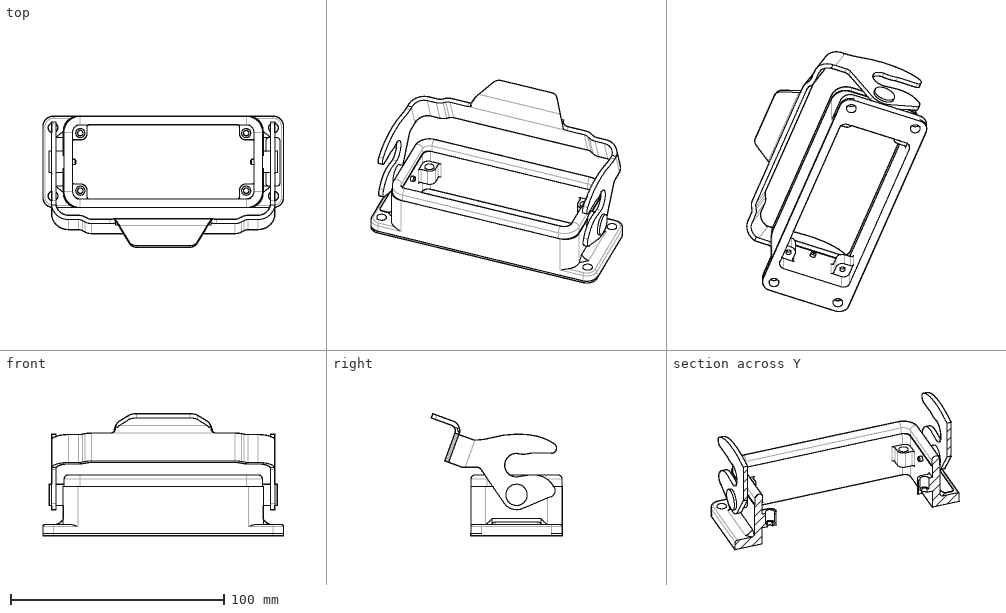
import cadquery as cq
import math

FLANGE_LENGTH = 113.0
FOOT_WIDTH = 43.0
FOOT_HEIGHT = 1.1
FLANGE_WIDTH = 42.9
FLANGE_HEIGHT = 5.3
FLANGE_CORNER_RADIUS = 5.0
FLANGE_EDGE_RADIUS = 1.0
MOUNT_HOLE_DIAMETER = 4.5
MOUNT_HOLE_X = 51.7
MOUNT_HOLE_Y = 16.0

BODY_LENGTH = 93.8
BODY_WIDTH = FLANGE_WIDTH
BODY_CORNER_RADIUS = 7.0
RIM_LENGTH = 93.1
RIM_WIDTH = 42.8
RIM_CORNER_RADIUS = 7.5
RIM_BOTTOM = 23.2
RIM_TOP = 28.6
WALL = 4.05

BOSS_TOP = 17.0
BOSS_BOTTOM = 9.0
BOSS_X = 38.9
BOSS_Y = 13.5
BOSS_HALF_SIZE = 3.2
BOSS_CORNER_RADIUS = 3.0
BOSS_FILLET_RADIUS = 1.0
BOSS_SINK = 0.5
BOSS_HOLE_DIAMETER = 2.5
BOSS_COUNTERBORE_DIAMETER = 4.3
BOSS_COUNTERBORE_DEPTH = 6.0

GUSSET_HEIGHT = 2.7
GUSSET_REACH = 5.8
GUSSET_HALF_WIDTH = 11.4
GUSSET_TIP_Y = 14.3
GUSSET_TIP_SCALE = 0.01
GUSSET_SINK = 0.5
ARC_MID_FRACTION = 1 - math.sqrt(0.5)

RECESS_INNER_X = 48.1
RECESS_OUTER_X = 54.7
RECESS_HALF_WIDTH = 11.4
RECESS_CORNER_RADIUS = 1.5
RECESS_DEPTH = 0.3

PIVOT_Z = 19.2
PIN_DIAMETER = 10.0
PIN_END_X = 53.5
PIN_TAIL_DIAMETER = 2.5
PIN_TAIL_END_X = 41.0
PIN_TAIL_CHAMFER = 0.5

TILT = 20.0
LATCH_THICKNESS = 2.2
ARM_OUTER_X = 52.4
STRAP_OUTER_U = 37.1
STRAP_BOTTOM_V = 3.4
STRAP_TOP_V = 17.37
STRAP_STEP = 2.0
STRAP_HALF_LENGTH = 33.7
ARM_BEND_RADIUS = 8.0
STEP_ANGLE = math.radians(30)
STEP_CONVEX_RADIUS = 6.0
STEP_CONCAVE_RADIUS = 4.0
PLAN_BACK_U = -25.0

ARM_PIVOT_RADIUS = 7.0
HOOK_ANGLE = math.radians(23)
NECK_ANGLE = math.radians(55.5)
NECK_FILLET_RADIUS = 2.5
SLOT_RADIUS = 5.5
SLOT_Z = PIVOT_Z + 13.9
ARM_BOTTOM_Z = 32.1
ARM_TOP_Z = 45.0

LOWER_HOOK_HEEL_Y = 15.2
LOWER_HOOK_NOSE = (18.1, 21.0)
LOWER_HOOK_NOSE_END = (17.2, 23.4)
LOWER_HOOK_TOP = [(12.8, 27.45), (7.6, 28.6), (2.9, 28.0)]
UPPER_HOOK_UNDERSIDE = [(2.9, 38.2), (7.0, 38.8)]
UPPER_HOOK_HEEL = (16.9, 38.7)
UPPER_HOOK_NOSE = (18.8, 40.8)
UPPER_HOOK_NOSE_END = (17.8, 43.1)
UPPER_HOOK_TOP = [(10.1, 46.6), (0.9, 47.7), (-7.3, 47.0), (-15.8, 45.2), (-18.0, ARM_TOP_Z)]

TAB_END_U = 49.97
TAB_BEND_RADIUS = 5.0
TAB_ROOT_HALF_WIDTH = 23.3
TAB_END_HALF_WIDTH = 14.9
TAB_CORNER_RADIUS = 4.0
TAB_FLARE_HALF_WIDTH = 24.9
TAB_FLARE_RADIUS = 2.5


def rounded_block(length, width, radius, bottom, top):
    block = cq.Workplane("XY").workplane(offset=bottom).rect(length, width).extrude(top - bottom)
    return block.edges("|Z").fillet(radius)


def both_ends(half):
    """The given +X half together with its mirror image at -X."""
    return half.union(half.mirror("YZ"))


def tilted(latch_shape):
    """Moves a shape from the latch frame (u = -Y, v = Z, pivot at the origin) to its place."""
    turned = latch_shape.rotate((0, 0, 0), (1, 0, 0), -TILT)
    return turned.translate((0, 0, PIVOT_Z))


def latch_point(u, v):
    """The (Y, Z) position of a point given in the latch frame."""
    tilt = math.radians(TILT)
    y = -u * math.cos(tilt) + v * math.sin(tilt)
    z = PIVOT_Z + u * math.sin(tilt) + v * math.cos(tilt)
    return (y, z)


def latch_u_at_height(z, v):
    """The u at which the line of constant v reaches height z."""
    tilt = math.radians(TILT)
    return (z - PIVOT_Z - v * math.cos(tilt)) / math.sin(tilt)


def make_shell():
    flange = rounded_block(FLANGE_LENGTH, FLANGE_WIDTH, FLANGE_CORNER_RADIUS, 0, FLANGE_HEIGHT)
    flange = flange.faces(">Z").edges().fillet(FLANGE_EDGE_RADIUS)
    body = rounded_block(BODY_LENGTH, BODY_WIDTH, BODY_CORNER_RADIUS, 0, RIM_BOTTOM)
    foot = rounded_block(FLANGE_LENGTH, FOOT_WIDTH, FLANGE_CORNER_RADIUS, 0, FOOT_HEIGHT)
    return flange.union(body).union(foot).cut(make_cavity()).union(make_rim())


def make_rim():
    """Upright wall with a fully rounded top edge."""
    bead_radius = WALL / 2
    bead_z = RIM_TOP - bead_radius
    outer = rounded_block(RIM_LENGTH, RIM_WIDTH, RIM_CORNER_RADIUS, RIM_BOTTOM, bead_z)
    opening = rounded_block(
        RIM_LENGTH - 2 * WALL, RIM_WIDTH - 2 * WALL, RIM_CORNER_RADIUS - WALL, RIM_BOTTOM, bead_z
    )
    middle = rounded_block(
        RIM_LENGTH - WALL, RIM_WIDTH - WALL, RIM_CORNER_RADIUS - bead_radius, RIM_BOTTOM, bead_z
    )
    bead_path = middle.faces(">Z").wires().val()
    bead_plane = cq.Plane(origin=bead_path.startPoint(), normal=bead_path.tangentAt(0))
    bead = cq.Workplane(bead_plane).circle(bead_radius).sweep(cq.Workplane(bead_path))
    return outer.cut(opening).union(bead)


def make_cavity():
    return rounded_block(
        BODY_LENGTH - 2 * WALL, BODY_WIDTH - 2 * WALL, BODY_CORNER_RADIUS - WALL, 0, RIM_BOTTOM
    )


def make_boss(side_x, side_y):
    """Boss outline grown into the two corner walls, with hollow fillets where it meets them."""
    inner_x = BOSS_X - BOSS_HALF_SIZE
    inner_y = BOSS_Y - BOSS_HALF_SIZE
    wall_x = BODY_LENGTH / 2 - WALL
    wall_y = BODY_WIDTH / 2 - WALL
    buried_x = wall_x + BOSS_SINK
    buried_y = wall_y + BOSS_SINK
    boss = (
        cq.Workplane("XY")
        .workplane(offset=BOSS_BOTTOM)
        .moveTo(inner_x - BOSS_FILLET_RADIUS, buried_y)
        .lineTo(inner_x - BOSS_FILLET_RADIUS, wall_y)
        .radiusArc((inner_x, wall_y - BOSS_FILLET_RADIUS), BOSS_FILLET_RADIUS)
        .lineTo(inner_x, inner_y + BOSS_CORNER_RADIUS)
        .radiusArc((inner_x + BOSS_CORNER_RADIUS, inner_y), -BOSS_CORNER_RADIUS)
        .lineTo(wall_x - BOSS_FILLET_RADIUS, inner_y)
        .radiusArc((wall_x, inner_y - BOSS_FILLET_RADIUS), BOSS_FILLET_RADIUS)
        .lineTo(buried_x, inner_y - BOSS_FILLET_RADIUS)
        .lineTo(buried_x, buried_y)
        .close()
        .extrude(BOSS_TOP - BOSS_BOTTOM)
    )
    if side_x < 0:
        boss = boss.mirror("YZ")
    if side_y < 0:
        boss = boss.mirror("XZ")
    return boss


def gusset_section(y, scale):
    """Section across the gusset, sunk a little into the wall and the flange."""
    reach = GUSSET_REACH * scale
    height = GUSSET_HEIGHT * scale
    return (
        cq.Workplane("XZ", origin=(BODY_LENGTH / 2, y, FLANGE_HEIGHT))
        .moveTo(-GUSSET_SINK, -GUSSET_SINK)
        .lineTo(reach, -GUSSET_SINK)
        .lineTo(reach, 0)
        .threePointArc((reach * ARC_MID_FRACTION, height * ARC_MID_FRACTION), (0, height))
        .lineTo(-GUSSET_SINK, height)
        .close()
    )


def make_gusset():
    middle = gusset_section(GUSSET_HALF_WIDTH, 1).extrude(2 * GUSSET_HALF_WIDTH)
    wide_end = gusset_section(-GUSSET_HALF_WIDTH, 1).wires().val()
    tip = gusset_section(-GUSSET_TIP_Y, GUSSET_TIP_SCALE).wires().val()
    end_cap = cq.Workplane(cq.Solid.makeLoft([wide_end, tip], True))
    return middle.union(end_cap).union(end_cap.mirror("XZ"))


def make_recess():
    length = RECESS_OUTER_X - RECESS_INNER_X
    floor = FLANGE_HEIGHT - RECESS_DEPTH
    recess = rounded_block(
        length, 2 * RECESS_HALF_WIDTH, RECESS_CORNER_RADIUS, floor, FLANGE_HEIGHT + GUSSET_HEIGHT
    )
    return recess.translate((RECESS_INNER_X + length / 2, 0, 0))


def make_housing():
    housing = make_shell()
    for side_x in (-1, 1):
        for side_y in (-1, 1):
            housing = housing.union(make_boss(side_x, side_y))
    housing = housing.union(both_ends(make_gusset())).cut(make_recess())
    boss_holes = (
        cq.Workplane("XY")
        .workplane(offset=BOSS_TOP)
        .rect(2 * BOSS_X, 2 * BOSS_Y, forConstruction=True)
        .vertices()
    )
    mount_holes = (
        cq.Workplane("XY")
        .rect(2 * MOUNT_HOLE_X, 2 * MOUNT_HOLE_Y, forConstruction=True)
        .vertices()
    )
    housing = housing.cut(boss_holes.circle(BOSS_HOLE_DIAMETER / 2).extrude(BOSS_BOTTOM - BOSS_TOP))
    housing = housing.cut(boss_holes.circle(BOSS_COUNTERBORE_DIAMETER / 2).extrude(-BOSS_COUNTERBORE_DEPTH))
    return housing.cut(mount_holes.circle(MOUNT_HOLE_DIAMETER / 2).extrude(FLANGE_HEIGHT))


def make_pin():
    root_x = (BODY_LENGTH - WALL) / 2
    pivot_plane = cq.Workplane("YZ", origin=(root_x, 0, PIVOT_Z))
    head = pivot_plane.circle(PIN_DIAMETER / 2).extrude(PIN_END_X - root_x)
    tail = pivot_plane.circle(PIN_TAIL_DIAMETER / 2).extrude(PIN_TAIL_END_X - root_x)
    tail = tail.faces("<X").chamfer(PIN_TAIL_CHAMFER)
    return head.union(tail)


def make_latch_silhouette():
    """Side outline of arms and strap, as a prism across the whole part."""
    hook_tangent = (
        ARM_PIVOT_RADIUS * math.sin(HOOK_ANGLE),
        PIVOT_Z - ARM_PIVOT_RADIUS * math.cos(HOOK_ANGLE),
    )
    neck_tangent = (
        -ARM_PIVOT_RADIUS * math.sin(NECK_ANGLE),
        PIVOT_Z - ARM_PIVOT_RADIUS * math.cos(NECK_ANGLE),
    )
    heel_run = LOWER_HOOK_HEEL_Y - hook_tangent[0]
    lower_heel = (LOWER_HOOK_HEEL_Y, hook_tangent[1] + heel_run * math.tan(HOOK_ANGLE))
    slot_bottom = (0, SLOT_Z - SLOT_RADIUS)
    slot_top = (0, SLOT_Z + SLOT_RADIUS)
    neck_rise = ARM_BOTTOM_Z - neck_tangent[1]
    neck_corner = (neck_tangent[0] - neck_rise / math.tan(NECK_ANGLE), ARM_BOTTOM_Z)
    fillet_setback = NECK_FILLET_RADIUS * math.tan(NECK_ANGLE / 2)
    fillet_start = (
        neck_corner[0] + fillet_setback * math.cos(NECK_ANGLE),
        neck_corner[1] - fillet_setback * math.sin(NECK_ANGLE),
    )
    fillet_end = (neck_corner[0] - fillet_setback, ARM_BOTTOM_Z)
    strap_bottom_start = latch_u_at_height(ARM_BOTTOM_Z, STRAP_BOTTOM_V)
    strap_top_start = latch_u_at_height(ARM_TOP_Z, STRAP_TOP_V)
    half_span = ARM_OUTER_X + LATCH_THICKNESS

    outline = (
        cq.Workplane("YZ")
        .moveTo(*hook_tangent)
        .lineTo(*lower_heel)
        .threePointArc(LOWER_HOOK_NOSE, LOWER_HOOK_NOSE_END)
        .spline(LOWER_HOOK_TOP + [slot_bottom], includeCurrent=True)
        .threePointArc((-SLOT_RADIUS, SLOT_Z), slot_top)
        .spline(UPPER_HOOK_UNDERSIDE, includeCurrent=True)
        .lineTo(*UPPER_HOOK_HEEL)
        .threePointArc(UPPER_HOOK_NOSE, UPPER_HOOK_NOSE_END)
        .spline(UPPER_HOOK_TOP, includeCurrent=True)
        .lineTo(*latch_point(strap_top_start, STRAP_TOP_V))
        .lineTo(*latch_point(STRAP_OUTER_U, STRAP_TOP_V))
        .lineTo(*latch_point(STRAP_OUTER_U, STRAP_BOTTOM_V))
        .lineTo(*latch_point(strap_bottom_start, STRAP_BOTTOM_V))
        .lineTo(*fillet_end)
        .radiusArc(fillet_start, NECK_FILLET_RADIUS)
        .lineTo(*neck_tangent)
        .threePointArc((0, PIVOT_Z - ARM_PIVOT_RADIUS), hook_tangent)
        .close()
    )
    return outline.extrude(half_span, both=True)


def strap_outline():
    """Outer outline of the bent sheet, closed behind the arms.

    It is drawn in the latch frame at (x, -u): the +X half first, then its mirror image.
    """
    sin_step = math.sin(STEP_ANGLE)
    drop = 1 - math.cos(STEP_ANGLE)
    slope_depth = STRAP_STEP - (STEP_CONVEX_RADIUS + STEP_CONCAVE_RADIUS) * drop
    convex_end_x = STRAP_HALF_LENGTH + STEP_CONVEX_RADIUS * sin_step
    convex_end_u = STRAP_OUTER_U - STEP_CONVEX_RADIUS * drop
    slope_end_x = convex_end_x + slope_depth / math.tan(STEP_ANGLE)
    slope_end_u = convex_end_u - slope_depth
    step_end_x = slope_end_x + STEP_CONCAVE_RADIUS * sin_step
    step_end_u = STRAP_OUTER_U - STRAP_STEP
    bend_start_x = ARM_OUTER_X - ARM_BEND_RADIUS
    bend_end_u = step_end_u - ARM_BEND_RADIUS
    return (
        cq.Workplane("XY")
        .moveTo(0, -STRAP_OUTER_U)
        .lineTo(STRAP_HALF_LENGTH, -STRAP_OUTER_U)
        .radiusArc((convex_end_x, -convex_end_u), -STEP_CONVEX_RADIUS)
        .lineTo(slope_end_x, -slope_end_u)
        .radiusArc((step_end_x, -step_end_u), STEP_CONCAVE_RADIUS)
        .lineTo(bend_start_x, -step_end_u)
        .radiusArc((ARM_OUTER_X, -bend_end_u), -ARM_BEND_RADIUS)
        .lineTo(ARM_OUTER_X, -PLAN_BACK_U)
        .lineTo(0, -PLAN_BACK_U)
        .mirrorY()
    )


def make_latch_plan():
    """The bent sheet of arms and strap, as a tall prism in the latch frame."""
    reach = 2 * STRAP_OUTER_U
    outer = strap_outline().extrude(reach, both=True)
    inner = strap_outline().offset2D(-LATCH_THICKNESS).extrude(reach, both=True)
    return outer.cut(inner)


def make_thumb_tab():
    """Sheet rising from the strap's top edge and bent outward, in the latch frame."""
    inner_u = STRAP_OUTER_U - LATCH_THICKNESS
    bend_u = inner_u + TAB_BEND_RADIUS
    top_v = STRAP_TOP_V + TAB_BEND_RADIUS
    inner_radius = TAB_BEND_RADIUS - LATCH_THICKNESS
    bent_sheet = (
        cq.Workplane("YZ")
        .moveTo(-inner_u, STRAP_TOP_V)
        .radiusArc((-bend_u, top_v), -TAB_BEND_RADIUS)
        .lineTo(-TAB_END_U, top_v)
        .lineTo(-TAB_END_U, top_v - LATCH_THICKNESS)
        .lineTo(-bend_u, top_v - LATCH_THICKNESS)
        .radiusArc((-STRAP_OUTER_U, STRAP_TOP_V), inner_radius)
        .close()
        .extrude(TAB_FLARE_HALF_WIDTH, both=True)
    )
    trapezoid = (
        cq.Workplane("XY")
        .polyline([
            (-TAB_ROOT_HALF_WIDTH, -inner_u),
            (TAB_ROOT_HALF_WIDTH, -inner_u),
            (TAB_END_HALF_WIDTH, -TAB_END_U),
            (-TAB_END_HALF_WIDTH, -TAB_END_U),
        ])
        .close()
        .extrude(2 * top_v)
        .edges("|Z and <Y")
        .fillet(TAB_CORNER_RADIUS)
    )
    flare_top_x = TAB_FLARE_HALF_WIDTH - TAB_FLARE_RADIUS
    flare_top_v = STRAP_TOP_V + TAB_FLARE_RADIUS
    flared_root = (
        cq.Workplane("XZ")
        .moveTo(-TAB_FLARE_HALF_WIDTH, STRAP_TOP_V)
        .lineTo(TAB_FLARE_HALF_WIDTH, STRAP_TOP_V)
        .radiusArc((flare_top_x, flare_top_v), TAB_FLARE_RADIUS)
        .lineTo(-flare_top_x, flare_top_v)
        .radiusArc((-TAB_FLARE_HALF_WIDTH, STRAP_TOP_V), TAB_FLARE_RADIUS)
        .close()
        .extrude(TAB_END_U)
    )
    return bent_sheet.intersect(trapezoid).union(bent_sheet.intersect(flared_root))


def make_latch():
    sheet = make_latch_silhouette().intersect(tilted(make_latch_plan()))
    return sheet.union(tilted(make_thumb_tab()))


result = make_housing().union(both_ends(make_pin())).union(make_latch())